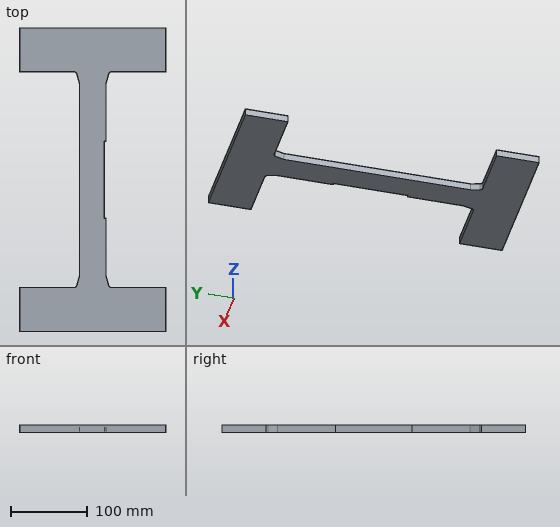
import cadquery as cq
import math

overall_width = 190.0
overall_length = 395.0
thickness = 10.0

flange_length = 57.3
web_width = 35.0

flare_length = 15.0
flare_angle = 15.0
flare_fillet_radius = 4.0

relief_length = 100.0
relief_depth = 2.5

half_length = overall_length / 2
half_web = web_width / 2
flange_inner_y = half_length - flange_length
flare_start_y = flange_inner_y - flare_length
flare_end_x = half_web + flare_length * math.tan(math.radians(flare_angle))


def make_flange(side):
    """End flange at +Y (side = 1) or -Y (side = -1)."""
    return (
        cq.Workplane("XY")
        .center(0, side * (half_length - flange_length / 2))
        .rect(overall_width, flange_length)
        .extrude(thickness)
    )


def make_web():
    """Straight web with a flare at both ends, reaching from flange to flange."""
    right_side = [
        (flare_end_x, -flange_inner_y),
        (half_web, -flare_start_y),
        (half_web, flare_start_y),
        (flare_end_x, flange_inner_y),
    ]
    left_side = [(-x, -y) for x, y in right_side]
    return cq.Workplane("XY").polyline(right_side + left_side).close().extrude(thickness)


def fillet_flare_corners(body):
    """Round the four inner corners where the flares meet the flanges."""
    for side_x in (-1, 1):
        for side_y in (-1, 1):
            corner = (side_x * flare_end_x, side_y * flange_inner_y, thickness / 2)
            body = body.edges(cq.NearestToPointSelector(corner)).fillet(flare_fillet_radius)
    return body


def make_relief():
    """Block that cuts the relief into the +X side of the web."""
    return (
        cq.Workplane("XY")
        .center(half_web - relief_depth / 2, 0)
        .rect(relief_depth, relief_length)
        .extrude(thickness)
    )


plate = make_web().union(make_flange(1)).union(make_flange(-1))
result = fillet_flare_corners(plate).cut(make_relief())